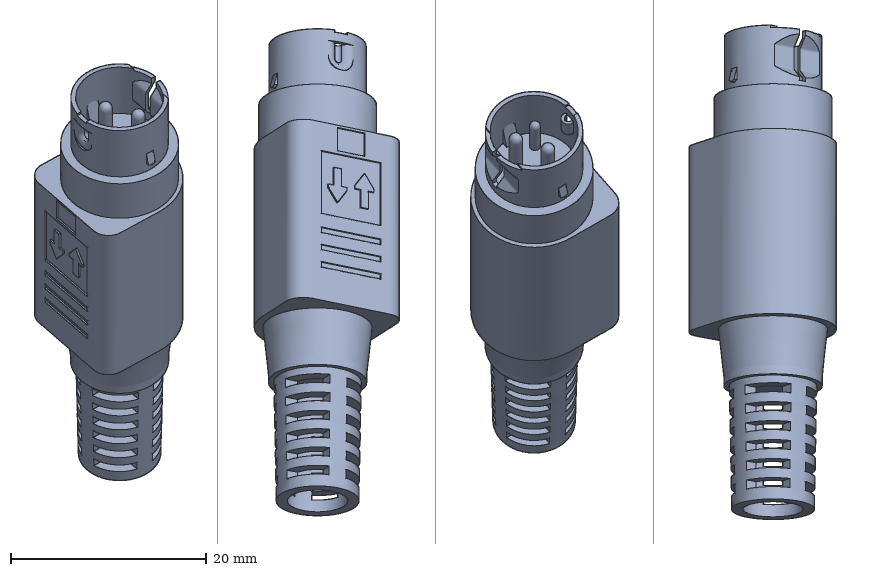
import cadquery as cq
import math

lip_bottom = 13.05
lip_top = 13.95
body_bottom = 19.05
body_top = 38.65
collar_top = 43.5
plug_top = 50.0

body_radius = 6.5
body_front = 7.0
body_corner = 2.0

collar_radius = 6.05
barrel_radius = 5.0
cavity_radius = 4.5
neck_top_radius = 5.6
lip_radius = 5.05
sleeve_top_radius = 4.5
sleeve_bottom_radius = 4.25
cable_bore_radius = 3.1

slot_rows = 6
slot_pitch = 2.0
slot_height = 0.95
slot_first_bottom = 1.3
rib_width = 2.0

sheet = 0.35
middle_wall_radius = (cavity_radius + barrel_radius) / 2
latch_depth_y = 4.05
latch_floor_bottom = 45.7
latch_floor_top = 47.95
latch_mouth_bottom = 44.7
latch_mouth_top = 49.25
latch_bend = 0.4
latch_rim_y = 3.8
rim_drop = 0.25
latch_slit_width = 0.75
front_notch_width = 1.5

key_top = 48.75
key_turn_z = 47.15
key_mouth_half = 1.45
key_center_y = 4.3
key_groove_radius = 0.4
key_bump_radius = key_groove_radius + sheet

nub_width = 0.9
nub_top = 45.95
nub_corner_z = 44.65
nub_tip_z = 44.4
nub_reach = 5.35
ramp_width = 1.5
ramp_height = 2.5
ramp_reach = 3.8

pins = [(1.5, 1.25, 0.7, 48.5), (-1.45, -0.7, 0.7, 48.5), (2.25, -1.7, 0.55, 47.5)]

recess_depth = 0.2
panel_width = 7.0
panel_bottom = 28.6
panel_top = 35.5
badge_width = 3.2
badge_bottom = 35.85
badge_top = 38.4
groove_height = 0.6
groove_pitch = 1.9
groove_count = 3
first_groove_z = 26.8

arrow_spacing = 3.15
arrow_length = 3.8
arrow_head_length = 1.85
arrow_shoulder = 0.35
arrow_head_half = 1.1
arrow_shaft_half = 0.45


def cylinder(radius, bottom, top):
    return cq.Workplane("XY").workplane(offset=bottom).circle(radius).extrude(top - bottom)


def block(x_size, y_min, y_max, z_min, z_max):
    """Box centred on X = 0."""
    size = (x_size, y_max - y_min, z_max - z_min)
    return cq.Workplane("XY").box(*size, centered=(True, False, False)).translate((0, y_min, z_min))


def make_shell():
    body = (
        cq.Workplane("XY")
        .workplane(offset=body_bottom)
        .moveTo(body_radius, 0)
        .threePointArc((0, body_radius), (-body_radius, 0))
        .lineTo(-body_radius, -body_front + body_corner)
        .radiusArc((-body_radius + body_corner, -body_front), -body_corner)
        .lineTo(body_radius - body_corner, -body_front)
        .radiusArc((body_radius, -body_front + body_corner), -body_corner)
        .close()
        .extrude(body_top - body_bottom)
    )
    lower = (
        cq.Workplane("XZ")
        .moveTo(0, 0)
        .lineTo(sleeve_bottom_radius, 0)
        .lineTo(sleeve_top_radius, lip_bottom)
        .lineTo(lip_radius, lip_bottom)
        .lineTo(lip_radius, lip_top)
        .lineTo(neck_top_radius, body_bottom)
        .lineTo(0, body_bottom)
        .close()
        .revolve(360, (0, 0, 0), (0, 1, 0))
    )
    collar = cylinder(collar_radius, body_top, collar_top)
    barrel = cylinder(barrel_radius, collar_top, plug_top)
    cavity = cylinder(cavity_radius, collar_top, plug_top)
    cable_bore = cylinder(cable_bore_radius, 0, lip_bottom)
    return lower.union(body).union(collar).union(barrel).cut(cavity).cut(cable_bore)


def strain_relief_slots():
    """Rows of openings that leave four ribs, on +X, -X, +Y and -Y."""
    reach = 2 * lip_radius
    rib_x = cq.Workplane("XY").rect(reach, rib_width).extrude(slot_height)
    rib_y = cq.Workplane("XY").rect(rib_width, reach).extrude(slot_height)
    row = cq.Workplane("XY").rect(reach, reach).extrude(slot_height).cut(rib_x).cut(rib_y)
    slots = cq.Workplane("XY")
    for i in range(slot_rows):
        slots = slots.add(row.translate((0, 0, slot_first_bottom + i * slot_pitch)))
    return slots.combine()


def latch_prism(offset):
    """Prism along X, open towards +Y: the latch groove, deepened and widened by an offset."""
    floor_y = latch_depth_y - offset
    return (
        cq.Workplane("YZ")
        .moveTo(collar_radius, latch_mouth_top + offset)
        .lineTo(barrel_radius, latch_mouth_top + offset)
        .lineTo(floor_y, latch_floor_top + offset / 2)
        .lineTo(floor_y, latch_floor_bottom - offset / 2)
        .lineTo(barrel_radius, latch_mouth_bottom - offset)
        .lineTo(collar_radius, latch_mouth_bottom - offset)
        .close()
        .extrude(barrel_radius, both=True)
        .faces("<Y")
        .edges("|X")
        .fillet(latch_bend + offset)
    )


def add_latch(part):
    """Inward pressed latch groove across the +Y side, split by a slit."""
    pressed_wall = latch_prism(sheet).intersect(cylinder(middle_wall_radius, collar_top, plug_top))
    part = part.union(pressed_wall).cut(latch_prism(0))
    part = part.cut(block(2 * barrel_radius, latch_rim_y, barrel_radius, plug_top - rim_drop, plug_top))
    slit_bottom = latch_mouth_bottom - sheet
    return part.cut(block(latch_slit_width, latch_depth_y - 2 * sheet, barrel_radius, slit_bottom, plug_top))


def half_groove():
    """Plan outline of the +X half of the flared key groove, at the level where it turns round."""
    mouth_y = math.sqrt(barrel_radius**2 - key_mouth_half**2)
    flare_drop = mouth_y - key_center_y
    flare_run = key_mouth_half - key_groove_radius
    diagonal = math.sqrt(0.5)
    return (
        cq.Workplane("XY")
        .workplane(offset=key_turn_z)
        .moveTo(0, -key_center_y + key_groove_radius)
        .threePointArc(
            (key_groove_radius * diagonal, -key_center_y + key_groove_radius * diagonal),
            (key_groove_radius, -key_center_y),
        )
        .threePointArc(
            (key_mouth_half - flare_run * diagonal, -key_center_y - flare_drop * diagonal),
            (key_mouth_half, -mouth_y),
        )
        .lineTo(key_mouth_half, -barrel_radius)
        .lineTo(0, -barrel_radius)
        .close()
    )


def add_key(part):
    """Lanced keyway: a rounded bump inside, a flared groove outside, and a notch in the rim above."""
    bump = cylinder(key_bump_radius, key_turn_z, key_top)
    bump = bump.union(cq.Workplane("XY").sphere(key_bump_radius).translate((0, 0, key_turn_z)))
    bump = bump.translate((0, -key_center_y, 0)).intersect(cylinder(middle_wall_radius, collar_top, plug_top))
    part = part.union(bump)

    straight = half_groove().extrude(key_top - key_turn_z)
    straight = straight.union(straight.mirror("YZ"))
    round_end = half_groove().revolve(360, (0, 0, 0), (0, 1, 0))
    lower_half = block(2 * barrel_radius, -barrel_radius, 0, collar_top, key_turn_z)
    part = part.cut(straight).cut(round_end.intersect(lower_half))
    rim_bottom = plug_top - rim_drop
    return part.cut(block(front_notch_width, -barrel_radius, -key_center_y, rim_bottom, plug_top))


def snap_tab():
    """Outer wedge with a pointed lower end, and inner ramp, on the +X side."""
    nub = (
        cq.Workplane("XZ")
        .moveTo(middle_wall_radius, nub_top)
        .lineTo(barrel_radius, nub_top)
        .lineTo(nub_reach, nub_corner_z)
        .lineTo(nub_reach, nub_tip_z)
        .lineTo(middle_wall_radius, nub_tip_z)
        .close()
        .extrude(nub_width / 2, both=True)
    )
    pointed = (
        cq.Workplane("YZ")
        .moveTo(-nub_width / 2, nub_top)
        .lineTo(nub_width / 2, nub_top)
        .lineTo(nub_width / 2, nub_corner_z)
        .lineTo(0, nub_tip_z)
        .lineTo(-nub_width / 2, nub_corner_z)
        .close()
        .extrude(nub_reach)
    )
    ramp = (
        cq.Workplane("XZ")
        .moveTo(middle_wall_radius, collar_top)
        .lineTo(ramp_reach, collar_top)
        .lineTo(cavity_radius, collar_top + ramp_height)
        .lineTo(middle_wall_radius, collar_top + ramp_height)
        .close()
        .extrude(ramp_width / 2, both=True)
    )
    return nub.intersect(pointed).union(ramp)


def contact_pin(x, y, radius, tip):
    shaft = cylinder(radius, collar_top, tip - radius)
    dome = cq.Workplane("XY").sphere(radius).translate((0, 0, tip - radius))
    return shaft.union(dome).translate((x, y, 0))


def face_recess(width, bottom, top):
    return block(width, -body_front, -body_front + recess_depth, bottom, top)


def arrow(center_x, direction):
    """Flush-topped arrow centred in the panel; direction is +1 up or -1 down."""
    tail = -arrow_length / 2
    head = arrow_length / 2 - arrow_head_length
    right_side = [
        (arrow_shaft_half, tail),
        (arrow_shaft_half, head),
        (arrow_head_half, head),
        (arrow_head_half, head + arrow_shoulder),
    ]
    left_side = [(-x, z) for x, z in reversed(right_side)]
    outline = right_side + [(0, arrow_length / 2)] + left_side
    middle_z = (panel_bottom + panel_top) / 2
    points = [(center_x + x, middle_z + direction * z) for x, z in outline]
    flat = cq.Workplane("XZ", origin=(0, -body_front + recess_depth, 0))
    return flat.polyline(points).close().extrude(recess_depth)


def add_face_marks(part):
    panel = face_recess(panel_width, panel_bottom, panel_top)
    panel = panel.cut(arrow(-arrow_spacing / 2, -1)).cut(arrow(arrow_spacing / 2, 1))
    part = part.cut(panel).cut(face_recess(badge_width, badge_bottom, badge_top))
    for i in range(groove_count):
        middle = first_groove_z - i * groove_pitch
        part = part.cut(face_recess(panel_width, middle - groove_height / 2, middle + groove_height / 2))
    return part


result = make_shell().cut(strain_relief_slots())
result = add_latch(result)
result = add_key(result)
tab = snap_tab()
result = result.union(tab).union(tab.mirror("YZ"))
for pin in pins:
    result = result.union(contact_pin(*pin))
result = add_face_marks(result)